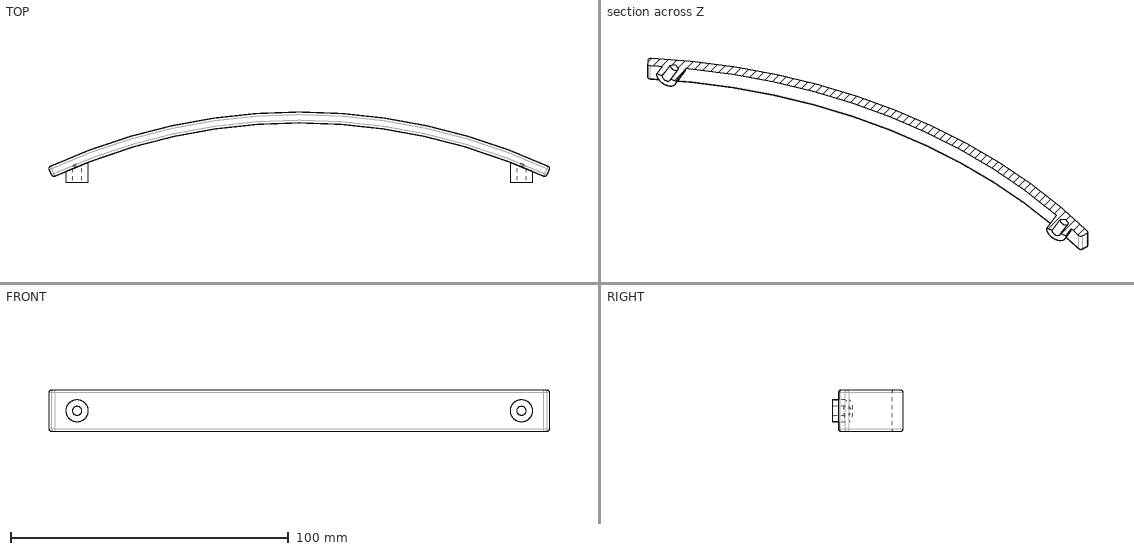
import cadquery as cq
import math

LENGTH = 180.34
HEIGHT = 15.0
THICKNESS = 4.0
OUTER_RADIUS = 215.0
EDGE_RADIUS = 1.0

POST_SPACING = 160.0
POST_DIAMETER = 8.0
OVERALL_DEPTH = 25.5
HOLE_DIAMETER = 3.3
HOLE_DEPTH = 6.0
DRILL_POINT_ANGLE = 118.0

INNER_RADIUS = OUTER_RADIUS - THICKNESS
CONE_DEPTH = HOLE_DIAMETER / 2 / math.tan(math.radians(DRILL_POINT_ANGLE / 2))
FOOT_Y = OUTER_RADIUS - OVERALL_DEPTH

ROUNDING_RADIUS = OUTER_RADIUS - EDGE_RADIUS
ROUNDING_X = LENGTH / 2 - EDGE_RADIUS
HALF_ANGLE = math.asin(ROUNDING_X / ROUNDING_RADIUS) + math.asin(EDGE_RADIUS / ROUNDING_RADIUS)


def arc_point(radius, angle):
    """Point on a circle about the bow centre, angle measured from +Y."""
    return (radius * math.sin(angle), radius * math.cos(angle))


def make_bow():
    """Arc-shaped bar with radial end faces and rounded edges."""
    bar = (
        cq.Workplane("XY")
        .moveTo(*arc_point(OUTER_RADIUS, -HALF_ANGLE))
        .threePointArc((0, OUTER_RADIUS), arc_point(OUTER_RADIUS, HALF_ANGLE))
        .lineTo(*arc_point(INNER_RADIUS, HALF_ANGLE))
        .threePointArc((0, INNER_RADIUS), arc_point(INNER_RADIUS, -HALF_ANGLE))
        .close()
        .extrude(HEIGHT / 2, both=True)
    )
    return bar.edges().fillet(EDGE_RADIUS)


def cylinder_from_foot(x, diameter, length):
    """Cylinder along +Y that starts in the plane of the post feet."""
    return cq.Workplane(
        cq.Solid.makeCylinder(diameter / 2, length, cq.Vector(x, FOOT_Y, 0), cq.Vector(0, 1, 0))
    )


def make_blind_hole(x):
    """Blind hole in a post foot, ending in a drill cone."""
    drill_cone = cq.Solid.makeCone(
        HOLE_DIAMETER / 2, 0, CONE_DEPTH, cq.Vector(x, FOOT_Y + HOLE_DEPTH, 0), cq.Vector(0, 1, 0)
    )
    return cylinder_from_foot(x, HOLE_DIAMETER, HOLE_DEPTH).union(cq.Workplane(drill_cone))


mid_radius = (OUTER_RADIUS + INNER_RADIUS) / 2
post_x = POST_SPACING / 2
post_length = math.sqrt(mid_radius**2 - post_x**2) - FOOT_Y

result = make_bow()
for x in (-post_x, post_x):
    result = result.union(cylinder_from_foot(x, POST_DIAMETER, post_length))
for x in (-post_x, post_x):
    result = result.cut(make_blind_hole(x))
result = result.translate((0, -OUTER_RADIUS, 0))